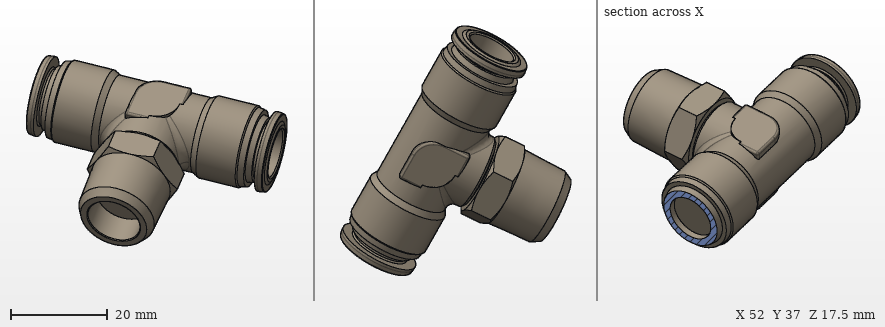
import cadquery as cq
import math

half_length = 26.0
tube_radius = 8.0
socket_radius = 17.5 / 2

lip_inner_radius = 6.1
lip_outer_radius = 6.8
lip_height = 0.35
disc_face_radius = 8.2
disc_radius = 8.5
disc_edge_depth = 0.5
disc_taper_end = 1.4
disc_back = 2.0
neck_radius = 6.0
neck_chamfer = 0.35
cone_start = 3.1
cone_start_radius = 6.85
cone_end = 4.4
cone_end_radius = 7.2
sleeve_front_radius = 8.2
sleeve_back_radius = 8.45
socket_start = 5.75
socket_chamfer = 0.3
socket_cylinder_end = 14.6
socket_end = 16.0
port_bore_radius = 5.1
port_bore_chamfer = 0.3
port_bore_depth = 4.5

branch_radius = tube_radius
collar_end = 10.6
collar_chamfer = 0.6
stem_radius = 6.7
hex_start = 10.8
hex_end = 16.8
hex_across_flats = 17.0
hex_twist = 2.0
hex_sides = 6
hex_corner_radius = hex_across_flats / 2 / math.cos(math.pi / hex_sides)
hex_face_radius = hex_across_flats / 2
hex_chamfer_angle = 30.0
thread_start_radius = 8.5
thread_tip_radius = 8.2
thread_end = 26.4
branch_end = 28.3
tip_radius = 7.2
branch_bore_radius = 5.65
branch_bore_chamfer = 0.2
branch_bore_depth = 6.2
junction_fillet = 1.7

pad_height = 8.05
pad_radius = 5.0
pad_corner_reach = 6.0
pad_fillet = 0.5

tolerance = 0.01


def revolve_about_x(points):
    return cq.Workplane("XY").polyline(points).close().revolve(360, (0, 0, 0), (1, 0, 0))


def revolve_about_y(points):
    return cq.Workplane("XY").polyline(points).close().revolve(360, (0, 0, 0), (0, 1, 0))


def make_port():
    """Push-in port on the -X end, with its release disc, neck and socket."""
    steps = [
        (0, 0),
        (0, lip_inner_radius),
        (lip_height, lip_outer_radius),
        (lip_height, disc_face_radius),
        (disc_edge_depth, disc_face_radius + disc_edge_depth - lip_height),
        (disc_taper_end, disc_radius),
        (disc_back, disc_radius),
        (disc_back, neck_radius + neck_chamfer),
        (disc_back + neck_chamfer, neck_radius),
        (cone_start, neck_radius),
        (cone_start, cone_start_radius),
        (cone_end, cone_end_radius),
        (cone_end, sleeve_front_radius),
        (socket_start, sleeve_back_radius),
        (socket_start + socket_chamfer, socket_radius),
        (socket_cylinder_end, socket_radius),
        (socket_end, tube_radius),
        (socket_end, 0),
    ]
    return revolve_about_x([(depth - half_length, radius) for depth, radius in steps])


def make_port_bore():
    """Blind bore with a chamfered mouth, opening on the -X end."""
    steps = [
        (0, 0),
        (0, port_bore_radius + port_bore_chamfer),
        (port_bore_chamfer, port_bore_radius),
        (port_bore_depth, port_bore_radius),
        (port_bore_depth, 0),
    ]
    return revolve_about_x([(depth - half_length, radius) for depth, radius in steps])


def is_plain_rim(edge):
    """True for the rim edges of the quarter arc facing +X and -Y and its end steps, which stay sharp."""
    center = edge.Center()
    return center.x > -tolerance and center.y < tolerance


def make_pad():
    """Pad on +Z: a round leaf with two square corners, rounded along its raised rim."""
    diagonal = pad_radius * math.sqrt(0.5)
    pad = (
        cq.Workplane("XY")
        .moveTo(-pad_radius, 0)
        .threePointArc((-diagonal, diagonal), (0, pad_radius))
        .lineTo(pad_corner_reach, pad_radius)
        .lineTo(pad_corner_reach, 0)
        .lineTo(pad_radius, 0)
        .threePointArc((diagonal, -diagonal), (0, -pad_radius))
        .lineTo(0, -pad_corner_reach)
        .lineTo(-pad_radius, -pad_corner_reach)
        .close()
        .extrude(pad_height)
    )
    for x, y in ((pad_corner_reach, pad_radius), (-pad_radius, -pad_corner_reach)):
        upright_edge = cq.selectors.NearestToPointSelector((x, y, pad_height / 2))
        pad = pad.edges(upright_edge).fillet(pad_fillet)
    rim = [edge for edge in pad.faces(">Z").edges().vals() if not is_plain_rim(edge)]
    return pad.newObject(rim).fillet(pad_fillet)


def is_crotch(edge):
    """True for the curves where the tube and the collar meet, in the planes y = -|x|."""
    center = edge.Center()
    on_diagonal = abs(abs(center.x) + center.y) < tolerance
    return on_diagonal and abs(center.x) > tolerance and edge.geomType() not in ("LINE", "CIRCLE")


def make_junction():
    """Plain tube crossed by the branch collar, with both pads and the filleted crotches."""
    tube = cq.Workplane("YZ").circle(tube_radius).extrude(half_length - socket_end, both=True)
    collar = cq.Workplane("XZ").circle(branch_radius).extrude(collar_end)
    pad = make_pad()
    junction = tube.union(collar).union(pad).union(pad.mirror("XY"))
    crotches = [edge for edge in junction.edges().vals() if is_crotch(edge)]
    junction = junction.newObject(crotches).fillet(junction_fillet)
    return junction.faces("<Y").chamfer(collar_chamfer)


def make_hex():
    """Wrench hexagon, slightly turned about the branch axis, with both ends bevelled."""
    bevel = (hex_corner_radius - hex_face_radius) * math.tan(math.radians(hex_chamfer_angle))
    hexagon = (
        cq.Workplane("XZ", origin=(0, -hex_start, 0))
        .transformed(rotate=(0, 0, hex_twist))
        .polygon(hex_sides, 2 * hex_corner_radius)
        .extrude(hex_end - hex_start)
    )
    bevel_limit = revolve_about_y([
        (0, -hex_start),
        (hex_face_radius, -hex_start),
        (hex_corner_radius, -hex_start - bevel),
        (hex_corner_radius, -hex_end + bevel),
        (hex_face_radius, -hex_end),
        (0, -hex_end),
    ])
    return hexagon.intersect(bevel_limit)


def make_stem():
    """Round core from the collar through the hexagon to the tapered, chamfered threaded end."""
    return revolve_about_y([
        (0, 0),
        (stem_radius, 0),
        (stem_radius, -hex_end),
        (thread_start_radius, -hex_end),
        (thread_tip_radius, -thread_end),
        (tip_radius, -branch_end),
        (0, -branch_end),
    ])


def make_branch_bore():
    """Blind bore with a chamfered mouth, opening on the -Y end."""
    return revolve_about_y([
        (0, -branch_end),
        (branch_bore_radius + branch_bore_chamfer, -branch_end),
        (branch_bore_radius, -branch_end + branch_bore_chamfer),
        (branch_bore_radius, -branch_end + branch_bore_depth),
        (0, -branch_end + branch_bore_depth),
    ])


port = make_port()
port_bore = make_port_bore()
body = make_junction().union(make_stem()).union(make_hex())
body = body.union(port).union(port.mirror("YZ"))
result = body.cut(make_branch_bore()).cut(port_bore).cut(port_bore.mirror("YZ"))